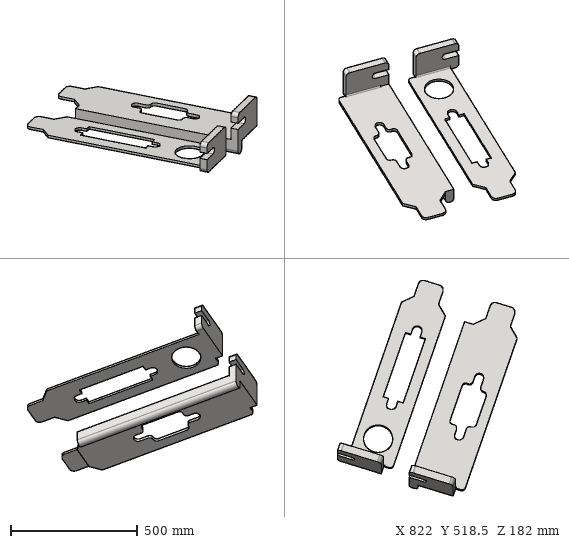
import cadquery as cq
import math

total_length = 822.0
body_pitch = 299.0
flange_width = 183.0
flange_thickness = 31.0
flange_top_z = 182.0
flange_corner_radius = 16.5
flange_x = total_length - flange_thickness

plate_top_z = 64.0
plate_front_y = 36.0
plate_back_y = 219.5
plate_corner_radius = 15.0
bend_radius = 5.0
bend_back_y = 187.0

tongue_thickness = 11.5
tongue_length = 76.5
tongue_front_y = 76.0
tongue_back_y = 178.0
tongue_corner_radius = 20.5
shoulder_x = 115.0

screw_slot_width = 27.0
screw_slot_depth = 71.5
screw_slot_z = 127.0

narrow_thickness = tongue_thickness
window_center_x = 373.0
window_center_y = 132.0
window_length = 284.0
window_height = 83.0
window_slot_length = 367.0
window_slot_width = 39.0
round_hole_diameter = 115.0
round_hole_x = 689.0
round_hole_y = 126.5

railed_thickness = 14.0
dsub_center_x = 449.0
dsub_back_y = 477.5 - body_pitch
dsub_front_y = 373.0 - body_pitch
dsub_mean_length = 169.0
dsub_flank_angle = 10.0
dsub_corner_radius = 15.0
dsub_slot_y = 427.5 - body_pitch
dsub_slot_length = 293.0
dsub_slot_width = 36.0


def plate(thickness):
    """Flat plate with sloped shoulders, from the tongue root to the flange."""
    outline = [
        (tongue_length, tongue_front_y),
        (shoulder_x, plate_front_y),
        (flange_x, plate_front_y),
        (flange_x, plate_back_y),
        (shoulder_x, plate_back_y),
        (tongue_length, tongue_back_y),
    ]
    base = cq.Workplane("XY", origin=(0, 0, plate_top_z - thickness))
    body = base.polyline(outline).close().extrude(thickness)
    return body.edges("|Z and >X and >Y").fillet(plate_corner_radius)


def tongue():
    """Thin end tab with rounded outer corners."""
    width = tongue_back_y - tongue_front_y
    tab = cq.Workplane("XY", origin=(0, tongue_front_y, plate_top_z - tongue_thickness))
    tab = tab.box(tongue_length, width, tongue_thickness, centered=False)
    return tab.edges("|Z and <X").fillet(tongue_corner_radius)


def flange(thickness, rounded_corners):
    """Upright end flange; the corners picked by the selector are rounded."""
    bottom_z = plate_top_z - thickness
    upright = cq.Workplane("XY", origin=(flange_x, 0, bottom_z))
    upright = upright.box(flange_thickness, flange_width, flange_top_z - bottom_z, centered=False)
    return upright.edges(rounded_corners).fillet(flange_corner_radius)


def bend_fillet():
    """Concave strip filling the inside corner between plate and flange."""
    strip = (
        cq.Workplane("XZ", origin=(flange_x, plate_front_y, plate_top_z))
        .lineTo(-bend_radius, 0)
        .radiusArc((0, bend_radius), -bend_radius)
        .close()
    )
    return strip.extrude(plate_front_y - bend_back_y)


def screw_slot():
    """Round-ended cutter, open at the front edge of the flange."""
    cutter = cq.Workplane("YZ", origin=(flange_x, 0, screw_slot_z))
    return cutter.slot2D(2 * screw_slot_depth, screw_slot_width).extrude(flange_thickness)


def bracket(thickness, rounded_corners):
    """Plate, tongue and slotted flange shared by both brackets."""
    body = plate(thickness).union(tongue()).union(flange(thickness, rounded_corners))
    return body.union(bend_fillet()).cut(screw_slot())


def window_cutter():
    """Rectangular connector window with a round-ended slot through it."""
    base = cq.Workplane("XY", origin=(window_center_x, window_center_y, 0))
    rectangle = base.rect(window_length, window_height).extrude(plate_top_z)
    return rectangle.union(base.slot2D(window_slot_length, window_slot_width).extrude(plate_top_z))


def dsub_cutter():
    """D-shaped connector window with rounded corners and a round-ended slot through it."""
    half_height = (dsub_back_y - dsub_front_y) / 2
    flank_shift = half_height * math.tan(math.radians(dsub_flank_angle))
    half_back = dsub_mean_length / 2 - flank_shift
    half_front = dsub_mean_length / 2 + flank_shift
    window = (
        cq.Workplane("XY", origin=(dsub_center_x, (dsub_back_y + dsub_front_y) / 2, 0))
        .polyline([
            (-half_front, -half_height),
            (half_front, -half_height),
            (half_back, half_height),
            (-half_back, half_height),
        ])
        .close()
        .extrude(plate_top_z)
    )
    slot_base = cq.Workplane("XY", origin=(dsub_center_x, dsub_slot_y, 0))
    straight_length = dsub_slot_length - dsub_slot_width
    window = window.union(slot_base.rect(straight_length, dsub_slot_width).extrude(plate_top_z))
    reach = half_front + dsub_corner_radius
    window_corners = cq.selectors.BoxSelector(
        (dsub_center_x - reach, 0, 0),
        (dsub_center_x + reach, plate_back_y, plate_top_z),
    )
    window = window.edges("|Z").edges(window_corners).fillet(dsub_corner_radius)
    return window.union(slot_base.slot2D(dsub_slot_length, dsub_slot_width).extrude(plate_top_z))


def rail():
    """Bar along the front edge, with a fully rounded underside."""
    bar = cq.Workplane("YZ", origin=(shoulder_x, 0, 0))
    radius = plate_front_y / 2
    bar = (
        bar.moveTo(0, plate_top_z)
        .lineTo(0, radius)
        .threePointArc((radius, 0), (plate_front_y, radius))
        .lineTo(plate_front_y, plate_top_z)
        .close()
    )
    return bar.extrude(total_length - shoulder_x)


def narrow_bracket():
    body = bracket(narrow_thickness, "|X and (>Z or (<Z and <Y))")
    round_hole = (
        cq.Workplane("XY", origin=(round_hole_x, round_hole_y, 0))
        .circle(round_hole_diameter / 2)
        .extrude(plate_top_z)
    )
    return body.cut(window_cutter()).cut(round_hole)


def railed_bracket():
    body = bracket(railed_thickness, "|X and >Z").union(rail())
    return body.cut(dsub_cutter()).translate((0, body_pitch, 0))


result = cq.Compound.makeCompound([narrow_bracket().solids().val(), railed_bracket().solids().val()])